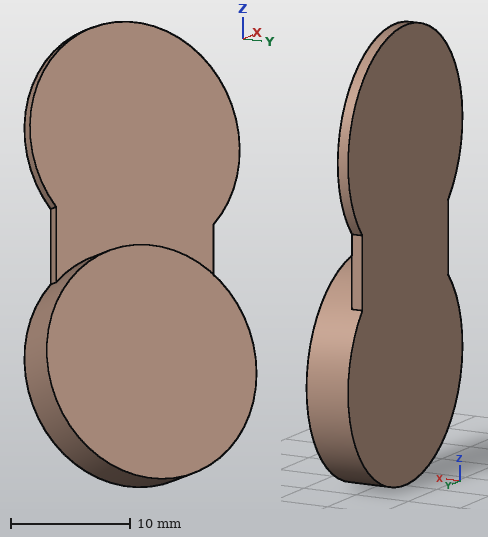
import cadquery as cq

disc_diameter = 20.0
overall_height = 39.7
overall_depth = 3.99
plate_thickness = 1.0
bridge_width = 15.0

disc_radius = disc_diameter / 2
centre_distance = overall_height - disc_diameter


def disc(centre_z, depth):
    """Round disc in the YZ plane, growing from X = 0 towards +X."""
    return cq.Workplane("YZ").center(0, centre_z).circle(disc_radius).extrude(depth)


def bridge():
    """Flat strip joining the two disc centres."""
    return (
        cq.Workplane("YZ")
        .center(0, centre_distance / 2)
        .rect(bridge_width, centre_distance)
        .extrude(plate_thickness)
    )


thick_disc = disc(0, overall_depth)
thin_disc = disc(centre_distance, plate_thickness)

result = thick_disc.union(bridge()).union(thin_disc)